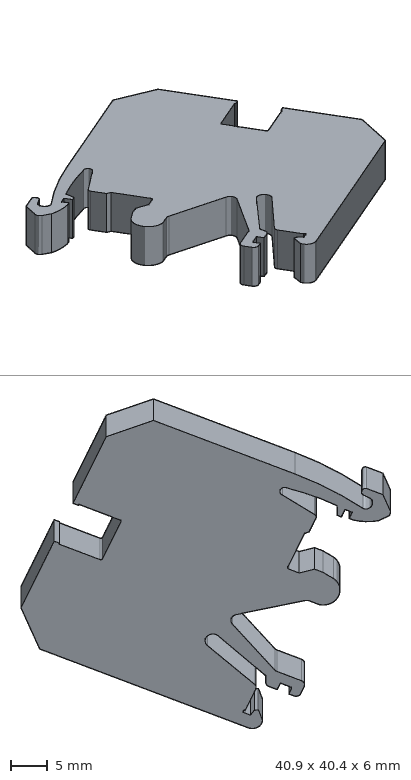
import cadquery as cq
import math

width = 40.85
height = 40.4
thickness = 6.0

plate_left = 1.8
plate_center = (plate_left + width) / 2
chamfer = 4.9
top_slot_half = 3.4
top_slot_lip = 0.15
top_slot_lip_height = 0.8
top_slot_floor = height - 7.15
top_slot_radius = 0.25

leg_bend_y = 14.4
gullet_center = (2.12, 3.75)
gullet_radius = 0.95
hook_tip_width = 1.05
hook_tip_top = 5.0
hook_tip_radius = 0.45
hook_side_bottom = 2.12
hook_point = (2.35, -0.25)
hook_point_radius = 0.75
hook_belly_start = (4.0, 1.05)
hook_belly_middle = (4.8, 2.57)
hook_belly_end = (5.25, 4.3)
leg_notch_x = 4.2
leg_notch_bottom = 4.85
leg_notch_top = 5.92
leg_tooth_x = 5.47
leg_tooth_top = 6.58
leg_inner_start = (4.1, 7.2)
leg_inner_middle = (3.95, 10.4)
leg_slit_left = (4.25, 14.55)
leg_slit_top = (4.85, 15.28)
leg_slit_right = (5.5, 14.65)

pad_left = 6.65
pad_right = 9.35
pad_y = 9.03
pad_radius = 0.5
seat_y = 9.5
seat_step_end = pad_right + seat_y - pad_y
seat_right = 15.8
seat_radius = 0.25
undercut_top = 7.72
foot_left = 14.4
foot_shoulder_y = 6.05
foot_left_y = 4.8
foot_arc_start = (14.75, 3.05)
foot_arc_bottom = (17.05, 1.35)
foot_right = 19.3
foot_arc_end_y = 3.23
foot_right_top = 5.02
foot_corner_radius = 1.02

gap_apex = (26.1, 14.2)
gap_radius = 0.95
post_left = 31.15
post_shoulder_y = 4.58
post_right = 33.8
post_radius = 0.75
post_notch_x = 32.7
post_notch_bottom = 1.47
post_notch_top = 3.2
post_notch_radius = 0.15
post_head_y = 5.0
post_head_radius = 0.8
post_neck = (32.45, 5.45)
post_neck_radius = 0.5

slit_left = (29.25, 13.95)
slit_width = 2.12
slit_angle = math.atan2(slit_left[1] - post_neck[1], slit_left[0] - post_neck[0])
slit_foot_x = 34.4
slit_foot_radius = 0.6

claw_roof = 5.92
claw_wall = 38.9
claw_relief_width = 0.33
claw_relief_height = 0.15
claw_throat_y = 5.0
claw_top = (38.0, 4.78)
claw_tip = (37.7, 4.3)
claw_tip_radius = 0.12
claw_arc_start = (39.0, 3.1)
claw_arc_middle = (40.3, 3.35)
claw_arc_end_y = 4.37


def toward(start, end, distance):
    """Point at a given distance from start on the line to end."""
    share = distance / math.dist(start, end)
    return (start[0] + share * (end[0] - start[0]), start[1] + share * (end[1] - start[1]))


def round_corner(path, before, corner, after, radius):
    """Draw to a corner and round it with a tangent arc that ends on the next side."""
    to_before = math.atan2(before[1] - corner[1], before[0] - corner[0])
    to_after = math.atan2(after[1] - corner[1], after[0] - corner[0])
    half_angle = math.acos(math.cos(to_before - to_after)) / 2
    tangent_length = radius / math.tan(half_angle)
    start = toward(corner, before, tangent_length)
    end = toward(corner, after, tangent_length)
    chord_middle = ((start[0] + end[0]) / 2, (start[1] + end[1]) / 2)
    middle = toward(corner, chord_middle, radius / math.sin(half_angle) - radius)
    return path.lineTo(*start).threePointArc(middle, end)


def run(path, start, *corners):
    """Draw straight sides from start; a corner given as (x, y, radius) is rounded."""
    before = start
    for index, corner in enumerate(corners):
        point = corner[:2]
        if len(corner) == 3:
            path = round_corner(path, before, point, corners[index + 1][:2], corner[2])
        else:
            path = path.lineTo(*point)
        before = point
    return path


def draw_left_leg(path):
    """Outer bend, hook, notch and inner curve of the left leg."""
    gullet_right = (gullet_center[0] + gullet_radius, gullet_center[1])
    gullet_bottom = (gullet_center[0], gullet_center[1] - gullet_radius)
    gullet_left = (gullet_center[0] - gullet_radius, gullet_center[1])
    path = path.lineTo(plate_left, leg_bend_y).tangentArcPoint(gullet_right, relative=False)
    path = path.threePointArc(gullet_bottom, gullet_left)
    path = run(
        path,
        gullet_left,
        (hook_tip_width, hook_tip_top, hook_tip_radius),
        (0, hook_tip_top, hook_tip_radius),
        (0, hook_side_bottom),
        (*hook_point, hook_point_radius),
        hook_belly_start,
    )
    path = path.threePointArc(hook_belly_middle, hook_belly_end)
    path = run(
        path,
        hook_belly_end,
        (hook_belly_end[0], leg_notch_bottom),
        (leg_notch_x, leg_notch_bottom),
        (leg_notch_x, leg_notch_top),
        (leg_tooth_x, leg_notch_top),
        (leg_tooth_x, leg_tooth_top),
        leg_inner_start,
    )
    path = path.threePointArc(leg_inner_middle, leg_slit_left)
    return path.threePointArc(leg_slit_top, leg_slit_right)


def draw_seat_and_foot(path):
    """Stepped rail seat, undercut and rounded middle foot."""
    path = run(
        path,
        leg_slit_right,
        (pad_left, pad_y, pad_radius),
        (pad_right, pad_y),
        (seat_step_end, seat_y),
        (seat_right, seat_y, seat_radius),
        (seat_right, undercut_top),
        (foot_left, foot_shoulder_y),
        (foot_left, foot_left_y),
        foot_arc_start,
    )
    return path.threePointArc(foot_arc_bottom, (foot_right, foot_arc_end_y))


def draw_post(path):
    """V gap, notched post and the slanted slit behind it."""
    path = run(
        path,
        (foot_right, foot_arc_end_y),
        (foot_right, foot_right_top, foot_corner_radius),
        (*gap_apex, gap_radius),
        (post_left, post_shoulder_y, post_radius),
        (post_left, 0, post_radius),
        (post_right, 0, post_radius),
        (post_right, post_notch_bottom),
        (post_notch_x, post_notch_bottom, post_notch_radius),
        (post_notch_x, post_notch_top),
        (post_right, post_notch_top),
        (post_right, post_head_y, post_head_radius),
        (*post_neck, post_neck_radius),
        slit_left,
    )
    slit_radius = slit_width / 2
    along = (math.cos(slit_angle), math.sin(slit_angle))
    across = (along[1], -along[0])
    center = (slit_left[0] + slit_radius * across[0], slit_left[1] + slit_radius * across[1])
    slit_end = (center[0] + slit_radius * along[0], center[1] + slit_radius * along[1])
    slit_right = (center[0] + slit_radius * across[0], center[1] + slit_radius * across[1])
    path = path.threePointArc(slit_end, slit_right)
    return run(
        path,
        slit_right,
        (slit_foot_x, claw_roof, slit_foot_radius),
        (claw_wall - claw_relief_width, claw_roof),
    )


def draw_claw(path):
    """Small relief, claw tip and rounded lower right corner."""
    relief_x = claw_wall - claw_relief_width
    relief_y = claw_roof + claw_relief_height
    path = run(
        path,
        (relief_x, claw_roof),
        (relief_x, relief_y),
        (claw_wall, relief_y),
        (claw_wall, claw_throat_y),
        claw_top,
        (*claw_tip, claw_tip_radius),
        claw_arc_start,
    )
    return path.threePointArc(claw_arc_middle, (width, claw_arc_end_y))


def draw_top(path):
    """Right side, chamfered top corners and the lipped slot."""
    slot_right = plate_center + top_slot_half
    slot_left = plate_center - top_slot_half
    lip_y = height - top_slot_lip_height
    return run(
        path,
        (width, claw_arc_end_y),
        (width, height - chamfer),
        (width - chamfer, height),
        (slot_right - top_slot_lip, height),
        (slot_right - top_slot_lip, lip_y),
        (slot_right, lip_y),
        (slot_right, top_slot_floor, top_slot_radius),
        (slot_left, top_slot_floor, top_slot_radius),
        (slot_left, lip_y),
        (slot_left + top_slot_lip, lip_y),
        (slot_left + top_slot_lip, height),
        (plate_left + chamfer, height),
    )


outline = cq.Workplane("XY").moveTo(plate_left, height - chamfer)
for draw_section in (draw_left_leg, draw_seat_and_foot, draw_post, draw_claw, draw_top):
    outline = draw_section(outline)

result = outline.close().extrude(thickness)